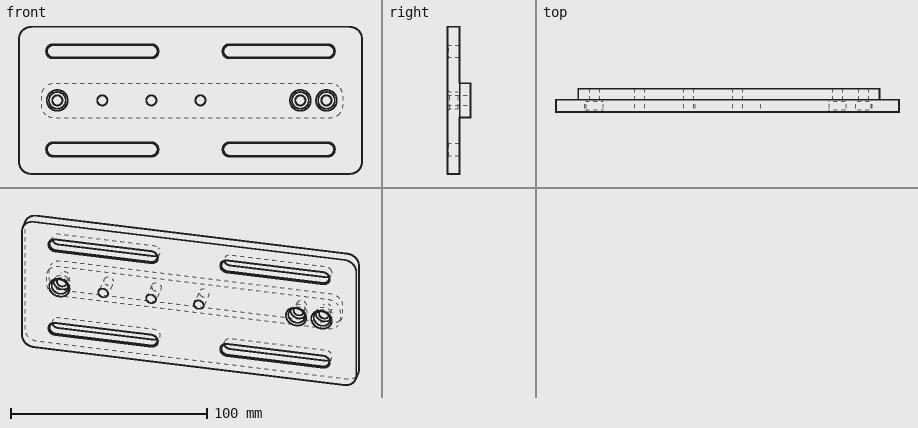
import cadquery as cq

plate_length = 175.0
plate_height = 75.0
plate_thickness = 6.3
corner_radius = 6.3

bar_length = 153.7
bar_height = 17.5
bar_thickness = 5.6
bar_center_x = 0.7
total_thickness = plate_thickness + bar_thickness

slot_length = 56.4
slot_width = 6.3
slot_chamfer = 0.5
slot_offset_x = 45.0
slot_offset_z = 25.0

hole_diameter = 5.0
hole_pitch = 25.0
middle_hole_x = -20.0
plain_hole_xs = [middle_hole_x + step * hole_pitch for step in (-1, 0, 1)]

screw_offset_x = 68.6
extra_screw_gap = 13.3
left_screw_x = bar_center_x - screw_offset_x
right_screw_x = bar_center_x + screw_offset_x
screw_hole_xs = [left_screw_x, right_screw_x - extra_screw_gap, right_screw_x]
counterbore_diameter = 8.5
counterbore_depth = 5.5
counterbore_chamfer = 1.0


def front_plane(depth):
    """Plane parallel to the front face, at the given depth behind it, with its normal toward +Y."""
    return cq.Plane(origin=(0, depth, 0), xDir=(1, 0, 0), normal=(0, 1, 0))


def rounded_block(length, height, thickness, center_x, depth):
    """Block with its four corners rounded as seen from the front."""
    return (
        cq.Workplane(front_plane(depth))
        .center(center_x, 0)
        .rect(length, height)
        .extrude(thickness)
        .edges("|Y")
        .fillet(corner_radius)
    )


def slot_cutter(x, z):
    """Through slot that widens in a chamfer at the front face."""
    through = (
        cq.Workplane(front_plane(0))
        .center(x, -z)
        .slot2D(slot_length, slot_width)
        .extrude(plate_thickness)
    )
    mouth_length = slot_length + 2 * slot_chamfer
    mouth_width = slot_width + 2 * slot_chamfer
    mouth = (
        cq.Workplane(front_plane(0))
        .center(x, -z)
        .slot2D(mouth_length, mouth_width)
        .extrude(slot_chamfer, taper=45)
    )
    return through.union(mouth)


def hole_cutter(x):
    """Plain hole through plate and bar."""
    return cq.Workplane(front_plane(0)).center(x, 0).circle(hole_diameter / 2).extrude(total_thickness)


def screw_hole_cutter(x):
    """Through hole with a counterbore whose rim is chamfered at the front face."""
    hole_radius = hole_diameter / 2
    bore_radius = counterbore_diameter / 2
    return (
        cq.Workplane("XY")
        .moveTo(0, 0)
        .lineTo(bore_radius + counterbore_chamfer, 0)
        .lineTo(bore_radius, counterbore_chamfer)
        .lineTo(bore_radius, counterbore_depth)
        .lineTo(hole_radius, counterbore_depth)
        .lineTo(hole_radius, total_thickness)
        .lineTo(0, total_thickness)
        .close()
        .revolve(360, (0, 0, 0), (0, 1, 0))
        .translate((x, 0, 0))
    )


plate = rounded_block(plate_length, plate_height, plate_thickness, 0, 0)
bar = rounded_block(bar_length, bar_height, bar_thickness, bar_center_x, plate_thickness)
result = plate.union(bar)

for side_x in (-1, 1):
    for side_z in (-1, 1):
        result = result.cut(slot_cutter(side_x * slot_offset_x, side_z * slot_offset_z))

for hole_x in plain_hole_xs:
    result = result.cut(hole_cutter(hole_x))

for screw_x in screw_hole_xs:
    result = result.cut(screw_hole_cutter(screw_x))